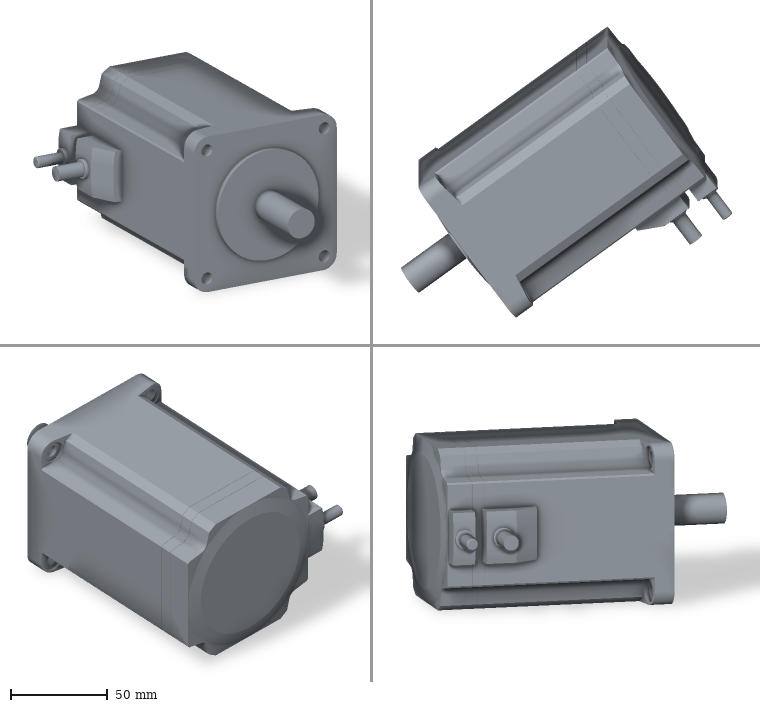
import cadquery as cq
import math


total_length = 159.7
cover_dome_depth = 1.6
flange_start = 108.3
flange_end = 122.8
pilot_end = 125.7

square_size = 85.0
half_size = square_size / 2
cover_flat_diameter = 70.0
pilot_diameter = 60.0
shaft_diameter = 16.0
flange_corner_radius = 8.1

hole_offset = 35.0
hole_diameter = 6.5
spotface_diameter = 12.0

flute_radius = 6.2
top_chamfer_start = 23.0
top_lip = (27.6, 39.5)
top_wall_end = (29.0, 33.5)
side_wall_start = (33.9, 29.0)
side_lip = (41.7, 27.6)
side_chamfer_end = 26.7
flute_clearance = 1.6
flute_outer = half_size + flute_clearance

pocket_floor_inner = 109.0
pocket_floor_outer = 112.3

groove_positions = (14.7, 21.4)
groove_width = 0.5
groove_depth = 0.2

outlet_half_width = 13.7
outlet_flat_half_width = 6.0
outlet_shoulder_reach = 52.7
outlet_reach = 53.7
collar_end = 55.5
collar_chamfer = 0.3
cable_end = 70.6

rear_outlet_start = 1.9
rear_outlet_end = 13.7
rear_cable_x = 7.8
rear_cable_diameter = 6.0
rear_collar_diameter = 10.0
rear_cable_chamfer = 0.5

front_outlet_start = 19.8
front_outlet_slope_start = 35.8
front_outlet_end = 48.2
front_outlet_drop = 6.2
front_cable_x = 28.5
front_cable_diameter = 8.0
front_collar_diameter = 10.5


def axial_box(start, end, size):
    """Square bar centred on the motor axis between two X positions."""
    return cq.Workplane("YZ", origin=(start, 0, 0)).rect(size, size).extrude(end - start)


def axial_cylinder(start, end, diameter):
    """Round bar on the motor axis between two X positions."""
    return cq.Workplane("YZ", origin=(start, 0, 0)).circle(diameter / 2).extrude(end - start)


def corner_flutes(start, end):
    """The four identical cutters that hollow the long corners."""
    arc_middle = hole_offset - flute_radius * math.sqrt(0.5)
    flute = (
        cq.Workplane("YZ", origin=(start, 0, 0))
        .moveTo(top_chamfer_start, flute_outer)
        .lineTo(top_chamfer_start, half_size)
        .lineTo(*top_lip)
        .lineTo(*top_wall_end)
        .threePointArc((arc_middle, arc_middle), side_wall_start)
        .lineTo(*side_lip)
        .lineTo(half_size, side_chamfer_end)
        .lineTo(flute_outer, side_chamfer_end)
        .lineTo(flute_outer, flute_outer)
        .close()
        .extrude(end - start)
    )
    upper = flute.union(flute.mirror("XZ"))
    return upper.union(upper.mirror("XY"))


def make_body():
    """Fluted square body with a shallow conical rear cover and joint grooves."""
    body = axial_box(cover_dome_depth, flange_start, square_size)
    body = body.cut(corner_flutes(cover_dome_depth, flange_start))
    outline = body.faces("<X").wires().val()
    inner_outline = outline.offset2D(-groove_depth)[0]
    for position in groove_positions:
        start = position - groove_width / 2
        shift = cq.Vector(start - cover_dome_depth, 0, 0)
        core = cq.Workplane("YZ").add(inner_outline.translate(shift)).toPending().extrude(groove_width)
        body = body.cut(axial_box(start, start + groove_width, square_size).cut(core))
    cover = (
        cq.Workplane("YZ")
        .circle(cover_flat_diameter / 2)
        .workplane(offset=cover_dome_depth)
        .circle(half_size)
        .loft()
    )
    return body.union(cover)


def make_flange():
    """Mounting flange with sloping corner pockets, spotfaced holes, pilot and shaft."""
    flange = axial_box(flange_start, flange_end, square_size).edges("|X").fillet(flange_corner_radius)
    pocket_space = (
        cq.Workplane("XY", origin=(0, 0, -half_size))
        .moveTo(flange_start, 0)
        .lineTo(pocket_floor_inner, 0)
        .lineTo(pocket_floor_inner, top_chamfer_start)
        .lineTo(pocket_floor_outer, half_size)
        .lineTo(flange_start, half_size)
        .close()
        .extrude(square_size)
    )
    pocket_space = pocket_space.union(pocket_space.mirror("XZ"))
    flange = flange.cut(corner_flutes(flange_start, flange_end).intersect(pocket_space))
    hole_square = 2 * hole_offset
    for diameter, end in ((hole_diameter, flange_end), (spotface_diameter, pocket_floor_outer)):
        bores = (
            cq.Workplane("YZ", origin=(flange_start, 0, 0))
            .rect(hole_square, hole_square, forConstruction=True)
            .vertices()
            .circle(diameter / 2)
            .extrude(end - flange_start)
        )
        flange = flange.cut(bores)
    pilot = axial_cylinder(flange_end, pilot_end, pilot_diameter)
    shaft = axial_cylinder(pilot_end, total_length, shaft_diameter)
    return flange.union(pilot).union(shaft)


def outlet_section(x, drop=0.0):
    """Cross-section of an outlet: a flat outer face with gently arched shoulders."""
    shoulder_y = drop - outlet_shoulder_reach
    flat_y = drop - outlet_reach
    middle_y = flat_y + (shoulder_y - flat_y) / 4
    middle_z = (outlet_half_width + outlet_flat_half_width) / 2
    return (
        cq.Workplane("YZ", origin=(x, 0, 0))
        .moveTo(-half_size, -outlet_half_width)
        .lineTo(shoulder_y, -outlet_half_width)
        .threePointArc((middle_y, -middle_z), (flat_y, -outlet_flat_half_width))
        .lineTo(flat_y, outlet_flat_half_width)
        .threePointArc((middle_y, middle_z), (shoulder_y, outlet_half_width))
        .lineTo(-half_size, outlet_half_width)
        .close()
    )


def cable_stub(x, start, end, diameter):
    """Round stub pointing towards -Y between two distances from the axis."""
    return cq.Workplane("XZ", origin=(x, -start, 0)).circle(diameter / 2).extrude(end - start)


def make_rear_outlet():
    """Plain block with a thin cable."""
    block = outlet_section(rear_outlet_start).extrude(rear_outlet_end - rear_outlet_start)
    collar = cable_stub(rear_cable_x, outlet_reach, collar_end, rear_collar_diameter)
    cable = cable_stub(rear_cable_x, collar_end, cable_end, rear_cable_diameter)
    collar = collar.faces("<Y").chamfer(collar_chamfer)
    cable = cable.faces("<Y").chamfer(rear_cable_chamfer)
    return block.union(collar).union(cable)


def make_front_outlet():
    """Block sloping down towards the flange, with a thicker cable."""
    block = outlet_section(front_outlet_start).extrude(front_outlet_slope_start - front_outlet_start)
    slope_sections = [
        outlet_section(front_outlet_slope_start).wire().val(),
        outlet_section(front_outlet_end, front_outlet_drop).wire().val(),
    ]
    slope = cq.Workplane(cq.Solid.makeLoft(slope_sections, True))
    collar = cable_stub(front_cable_x, outlet_reach, collar_end, front_collar_diameter)
    cable = cable_stub(front_cable_x, collar_end, cable_end, front_cable_diameter)
    collar = collar.faces("<Y").chamfer(collar_chamfer)
    return block.union(slope).union(collar).union(cable)


result = make_body().union(make_flange()).union(make_rear_outlet()).union(make_front_outlet())